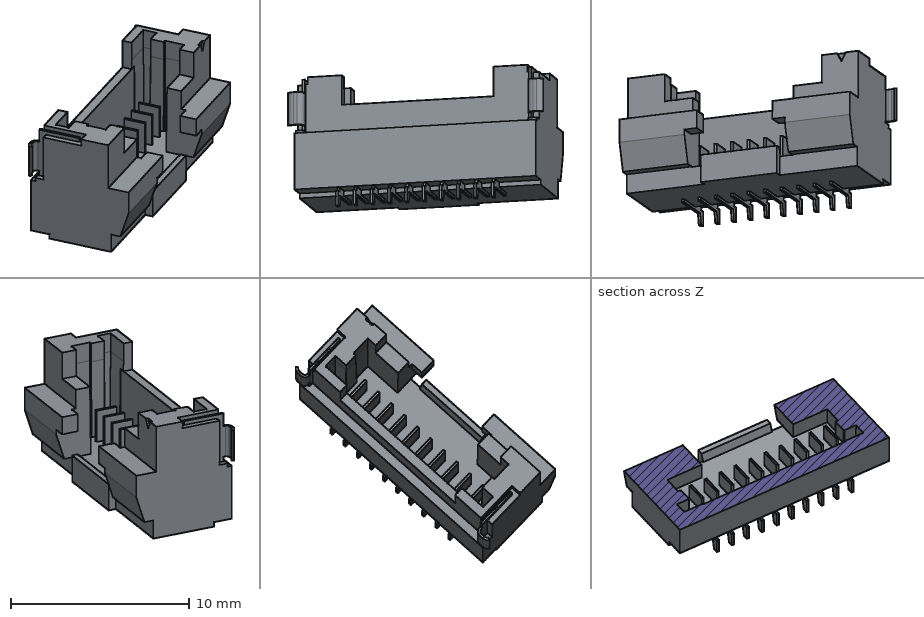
import cadquery as cq
import math

HALF_LENGTH = 7.0
HEIGHT = 6.8
DEPTH = 6.0
SHELF_HEIGHT = 3.5
UPPER_WALL_X = 0.53
CROWN_X = 4.75
NOSE_HEIGHT = 4.05
NOSE_BEVEL_TOP = 2.72
NOSE_BOTTOM_X = 5.49
NOSE_BOTTOM_HEIGHT = 1.12
BASE_FRONT_X = 4.925
TERMINAL_RELIEF_LENGTH = 1.12
TERMINAL_RELIEF_HEIGHT = 0.27

FLOOR_HEIGHT = 1.1
CAVITY_BACK_X = 1.09
KEY_X = 1.90
RIB_END_X = 2.71
CHEEK_X = 3.88
KEY_HALF_WIDTH = 6.02
RIB_HALF_WIDTH = 5.21
CAVITY_HALF_WIDTH = 5.38
OPENING_HALF_WIDTH = 3.05
DRAFT_TOP = 5.7
DRAFT_ANGLE = 0.75
BACK_WINDOW_HALF_WIDTH = 4.4
BACK_WINDOW_HEIGHT = 5.1
CHEEK_STEP_HALF_WIDTH = 4.77
CHEEK_STEP_HEIGHT = 5.2
GROOVE_END_X = 1.51
GROOVE_HALF_WIDTH = 4.77
GROOVE_DROP = 0.12

LIP_HALF_WIDTH = 2.3
LIP_FRONT_X = 5.375
LIP_TOP_X = 5.02
LIP_SLOPE_X = 4.835
LIP_HEIGHT = 1.6
TAB_BACK_X = 5.02
TAB_BOTTOM = 3.0

MARK_Y = 5.97
MARK_HALF_WIDTH = 0.27
MARK_HEIGHT = 0.5
MARK_DEPTH = 0.13

SPRING_POCKET_DEPTH = 0.63
SPRING_POCKET_FLOOR = 6.4
SPRING_POCKET_END_X = 3.09
SPRING_NOTCH_DEPTH = 0.53
SPRING_NOTCH_END_X = 0.77
SPRING_SEAT_X = 0.27
SPRING_SEAT_DEPTH = 0.5
SPRING_SEAT_HEIGHT = 3.7

OVERHANG = 0.08
SHEET = 0.15
SPRING_INNER_Y = HALF_LENGTH - SPRING_SEAT_DEPTH
SPRING_PLATE_START_X = 0.35
SPRING_PLATE_END_X = 2.82
SPRING_PLATE_TOP = 6.63
SPRING_CURL_BOTTOM = 3.98
SPRING_CURL_TOP = 5.85
BEND_RADIUS = 0.34
SPRING_FLAT = 0.22
TIP_RADIUS = 0.4
TIP_ANGLE = 60

PIN_COUNT = 10
PIN_PITCH = 1.0
PIN_WIDTH = 0.15
PIN_BOTTOM = -0.8
PIN_SHOULDER = 0.05
PIN_NECK_X = 0.18
PIN_TOE_X = 0.24
PIN_HEEL_X = 0.36
PIN_FOOT_BOTTOM = -0.17
PIN_FOOT_END_X = 2.73
CONTACT_START_X = GROOVE_END_X
CONTACT_END_X = 2.77
CONTACT_TOP = 3.0


def box(x0, x1, y0, y1, z0, z1):
    return cq.Workplane("XY").box(x1 - x0, y1 - y0, z1 - z0, centered=False).translate((x0, y0, z0))


def across(half_width, x0, x1, z0, z1):
    """Box centred on the middle of the pin row."""
    return box(x0, x1, -half_width, half_width, z0, z1)


def extrude_along_y(points, half_width):
    return cq.Workplane("XZ").polyline(points).close().extrude(half_width, both=True)


def both_ends(shape):
    return shape.union(shape.mirror("XZ"))


def make_shell():
    profile = [
        (0, TERMINAL_RELIEF_HEIGHT),
        (0, SHELF_HEIGHT),
        (UPPER_WALL_X, SHELF_HEIGHT),
        (UPPER_WALL_X, HEIGHT),
        (CROWN_X, HEIGHT),
        (CROWN_X, NOSE_HEIGHT),
        (DEPTH, NOSE_HEIGHT),
        (DEPTH, NOSE_BEVEL_TOP),
        (NOSE_BOTTOM_X, NOSE_BOTTOM_HEIGHT),
        (BASE_FRONT_X, NOSE_BOTTOM_HEIGHT),
        (BASE_FRONT_X, 0),
        (TERMINAL_RELIEF_LENGTH, 0),
        (TERMINAL_RELIEF_LENGTH, TERMINAL_RELIEF_HEIGHT),
    ]
    return extrude_along_y(profile, HALF_LENGTH)


def make_cavity():
    half_outline = [
        (CAVITY_BACK_X, KEY_HALF_WIDTH),
        (KEY_X, KEY_HALF_WIDTH),
        (KEY_X, RIB_HALF_WIDTH),
        (RIB_END_X, RIB_HALF_WIDTH),
        (RIB_END_X, CAVITY_HALF_WIDTH),
        (CHEEK_X, CAVITY_HALF_WIDTH),
    ]
    outline = half_outline + [(x, -y) for x, y in reversed(half_outline)]
    plane = cq.Workplane("XY").workplane(offset=DRAFT_TOP)
    upper = plane.polyline(outline).close().extrude(HEIGHT - DRAFT_TOP)
    lower = plane.polyline(outline).close().extrude(FLOOR_HEIGHT - DRAFT_TOP, taper=DRAFT_ANGLE)
    opening = across(OPENING_HALF_WIDTH, RIB_END_X, DEPTH, FLOOR_HEIGHT, HEIGHT)
    cheek_steps = across(CHEEK_STEP_HALF_WIDTH, RIB_END_X, CROWN_X, CHEEK_STEP_HEIGHT, HEIGHT)
    back_window = across(BACK_WINDOW_HALF_WIDTH, 0, KEY_X, BACK_WINDOW_HEIGHT, HEIGHT)
    return upper.union(lower).union(opening).union(cheek_steps).union(back_window)


def make_floor_groove():
    """Sloping groove in the floor beside the back wall, which is upright along it."""
    profile = [
        (CAVITY_BACK_X, BACK_WINDOW_HEIGHT),
        (CAVITY_BACK_X, FLOOR_HEIGHT - GROOVE_DROP),
        (GROOVE_END_X, FLOOR_HEIGHT),
        (GROOVE_END_X, BACK_WINDOW_HEIGHT),
    ]
    return extrude_along_y(profile, GROOVE_HALF_WIDTH)


def make_lip():
    profile = [
        (LIP_SLOPE_X, 0),
        (LIP_SLOPE_X, FLOOR_HEIGHT),
        (LIP_TOP_X, LIP_HEIGHT),
        (LIP_FRONT_X, LIP_HEIGHT),
        (LIP_FRONT_X, 0),
    ]
    return extrude_along_y(profile, LIP_HALF_WIDTH)


def make_tabs():
    return both_ends(box(TAB_BACK_X, DEPTH, LIP_HALF_WIDTH, OPENING_HALF_WIDTH, TAB_BOTTOM, NOSE_HEIGHT))


def make_pin_one_mark():
    corners = [
        (MARK_Y - MARK_HALF_WIDTH, HEIGHT),
        (MARK_Y + MARK_HALF_WIDTH, HEIGHT),
        (MARK_Y, HEIGHT - MARK_HEIGHT),
    ]
    return cq.Workplane("YZ").workplane(offset=CROWN_X).polyline(corners).close().extrude(-MARK_DEPTH)


def make_spring_recesses():
    pocket = box(
        0, SPRING_POCKET_END_X,
        HALF_LENGTH - SPRING_POCKET_DEPTH, HALF_LENGTH,
        SPRING_POCKET_FLOOR, HEIGHT,
    )
    notch = box(
        0, SPRING_NOTCH_END_X,
        HALF_LENGTH - SPRING_NOTCH_DEPTH, HALF_LENGTH,
        SHELF_HEIGHT, HEIGHT,
    )
    return both_ends(pocket.union(notch))


def make_spring_seats():
    return both_ends(box(
        SPRING_SEAT_X, SPRING_NOTCH_END_X,
        HALF_LENGTH - SPRING_SEAT_DEPTH, HALF_LENGTH,
        SHELF_HEIGHT, SPRING_SEAT_HEIGHT,
    ))


def point_on_arc(center, radius, degrees):
    angle = math.radians(degrees)
    return (center[0] + radius * math.cos(angle), center[1] + radius * math.sin(angle))


def make_springs():
    plate = box(
        SPRING_PLATE_START_X, SPRING_PLATE_END_X,
        SPRING_INNER_Y, SPRING_INNER_Y + SHEET,
        SPRING_SEAT_HEIGHT, SPRING_PLATE_TOP,
    )
    bend_center = (BEND_RADIUS - OVERHANG, SPRING_INNER_Y + BEND_RADIUS)
    tip_center = (TIP_RADIUS - OVERHANG, bend_center[1] + SPRING_FLAT)
    bend_inner = BEND_RADIUS - SHEET
    tip_inner = TIP_RADIUS - SHEET
    tip_end = 180 - TIP_ANGLE
    tip_middle = 180 - TIP_ANGLE / 2
    curl = (
        cq.Workplane("XY")
        .workplane(offset=SPRING_CURL_BOTTOM)
        .moveTo(SPRING_PLATE_START_X, SPRING_INNER_Y)
        .lineTo(*point_on_arc(bend_center, BEND_RADIUS, 270))
        .threePointArc(
            point_on_arc(bend_center, BEND_RADIUS, 225), point_on_arc(bend_center, BEND_RADIUS, 180)
        )
        .lineTo(*point_on_arc(tip_center, TIP_RADIUS, 180))
        .threePointArc(
            point_on_arc(tip_center, TIP_RADIUS, tip_middle), point_on_arc(tip_center, TIP_RADIUS, tip_end)
        )
        .lineTo(*point_on_arc(tip_center, tip_inner, tip_end))
        .threePointArc(
            point_on_arc(tip_center, tip_inner, tip_middle), point_on_arc(tip_center, tip_inner, 180)
        )
        .lineTo(*point_on_arc(bend_center, bend_inner, 180))
        .threePointArc(
            point_on_arc(bend_center, bend_inner, 225), point_on_arc(bend_center, bend_inner, 270)
        )
        .lineTo(SPRING_PLATE_START_X, SPRING_INNER_Y + SHEET)
        .close()
        .extrude(SPRING_CURL_TOP - SPRING_CURL_BOTTOM)
    )
    return both_ends(plate.union(curl))


def make_terminal():
    foot_profile = [
        (-OVERHANG, PIN_BOTTOM),
        (-OVERHANG, PIN_SHOULDER),
        (PIN_NECK_X, PIN_SHOULDER),
        (PIN_NECK_X, TERMINAL_RELIEF_HEIGHT),
        (TERMINAL_RELIEF_LENGTH, TERMINAL_RELIEF_HEIGHT),
        (TERMINAL_RELIEF_LENGTH, 0),
        (PIN_FOOT_END_X, 0),
        (PIN_FOOT_END_X, PIN_FOOT_BOTTOM),
        (PIN_HEEL_X, PIN_FOOT_BOTTOM),
        (PIN_TOE_X, PIN_BOTTOM),
    ]
    foot = extrude_along_y(foot_profile, PIN_WIDTH / 2)
    contact = across(PIN_WIDTH / 2, CONTACT_START_X, CONTACT_END_X, FLOOR_HEIGHT, CONTACT_TOP)
    return foot, contact


housing = make_shell().cut(make_cavity()).cut(make_floor_groove())
housing = housing.union(make_lip()).union(make_tabs())
housing = housing.cut(make_pin_one_mark())
housing = housing.cut(make_spring_recesses()).union(make_spring_seats())

result = housing.union(make_springs())
for index in range(PIN_COUNT):
    pin_y = (index - (PIN_COUNT - 1) / 2) * PIN_PITCH
    for piece in make_terminal():
        result = result.union(piece.translate((0, pin_y, 0)))